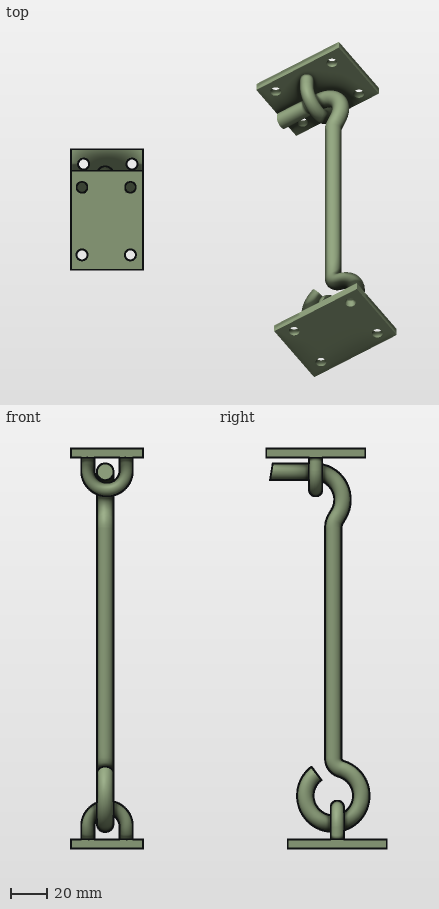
import cadquery as cq
import math

overall_height = 222.0
plate_width = 40.0
plate_length = 55.0
plate_thickness = 5.0
upper_plate_y = -12.0
screw_hole_diameter = 6.0
screw_spacing_x = 26.9
screw_spacing_y = 37.5
screw_pattern_shift_x = 0.5
screw_pattern_shift_y = 0.5

staple_wire_radius = 3.8
staple_bend_radius = 10.7
staple_leg_length = 7.0

rod_radius = 4.7
rod_x = -1.0
rod_y = -2.2
ring_radius = 15.5
ring_center_z = 29.3
ring_end_angle = 53.0
neck_radius = 6.0
hook_center_y = -12.7
hook_arm_z = 209.1
hook_arc_end_angle = 30.0
shoulder_radius = 9.5
hook_tip_y = -36.6
hook_tip_slant = 9.0


def make_anchor():
    """Plate with its underside on Z = 0 and its staple standing on top."""
    plate = (
        cq.Workplane("XY")
        .box(plate_width, plate_length, plate_thickness, centered=(True, True, False))
        .faces(">Z").workplane()
        .center(screw_pattern_shift_x, screw_pattern_shift_y)
        .rarray(screw_spacing_x, screw_spacing_y, 2, 2)
        .hole(screw_hole_diameter)
    )
    leg_base_z = plate_thickness
    bend_z = leg_base_z + staple_leg_length
    staple_path = (
        cq.Workplane("XZ")
        .moveTo(-staple_bend_radius, leg_base_z)
        .lineTo(-staple_bend_radius, bend_z)
        .threePointArc((0, bend_z + staple_bend_radius), (staple_bend_radius, bend_z))
        .lineTo(staple_bend_radius, leg_base_z)
    )
    staple = (
        cq.Workplane("XY", origin=(-staple_bend_radius, 0, leg_base_z))
        .circle(staple_wire_radius)
        .sweep(staple_path)
    )
    return plate.union(staple)


def polar(center, radius, angle):
    """Point (Y, Z) on a circle, with the angle in degrees from +Y towards +Z."""
    turn = math.radians(angle)
    return (center[0] + radius * math.cos(turn), center[1] + radius * math.sin(turn))


def make_hook_rod():
    """Round rod with an open ring at the bottom and a hook at the top."""
    ring_center = (rod_y, ring_center_z)
    center_distance = ring_radius + neck_radius
    ring_neck_angle = math.degrees(math.acos(neck_radius / center_distance))
    neck_center = polar(ring_center, center_distance, ring_neck_angle)
    ring_start_angle = 180 - ring_end_angle
    ring_start = polar(ring_center, ring_radius, ring_start_angle)
    ring_middle = polar(ring_center, ring_radius, (ring_start_angle + ring_neck_angle + 360) / 2)
    ring_neck = polar(ring_center, ring_radius, ring_neck_angle)
    neck_middle = polar(neck_center, neck_radius, (ring_neck_angle + 360) / 2)
    shank_bottom = polar(neck_center, neck_radius, 180)

    hook_center = (hook_center_y, hook_arm_z - ring_radius)
    hook_start = polar(hook_center, ring_radius, -hook_arc_end_angle)
    hook_middle = polar(hook_center, ring_radius, (90 - hook_arc_end_angle) / 2)
    hook_top = polar(hook_center, ring_radius, 90)
    slant = math.radians(hook_arc_end_angle)
    shoulder_end_y = rod_y + shoulder_radius * (1 - math.cos(slant))
    shoulder_end_z = hook_start[1] - (hook_start[0] - shoulder_end_y) / math.tan(slant)
    shoulder_center = (
        rod_y + shoulder_radius,
        shoulder_end_z - shoulder_radius * math.sin(slant),
    )
    shank_top = polar(shoulder_center, shoulder_radius, 180)
    shoulder_middle = polar(shoulder_center, shoulder_radius, 180 - hook_arc_end_angle / 2)

    arm_end_y = hook_tip_y - rod_radius
    path = (
        cq.Workplane("YZ", origin=(rod_x, 0, 0))
        .moveTo(*ring_start)
        .threePointArc(ring_middle, ring_neck)
        .threePointArc(neck_middle, shank_bottom)
        .lineTo(*shank_top)
        .threePointArc(shoulder_middle, (shoulder_end_y, shoulder_end_z))
        .lineTo(*hook_start)
        .threePointArc(hook_middle, hook_top)
        .lineTo(arm_end_y, hook_arm_z)
    )
    start_turn = math.radians(ring_start_angle)
    start_plane = cq.Plane(
        origin=(rod_x, *ring_start),
        xDir=(1, 0, 0),
        normal=(0, -math.sin(start_turn), math.cos(start_turn)),
    )
    rod = cq.Workplane(start_plane).circle(rod_radius).sweep(path)

    trim_size = 4 * rod_radius
    trim = (
        cq.Workplane("XY")
        .box(trim_size, trim_size, trim_size)
        .translate((0, -trim_size / 2, 0))
        .rotate((0, 0, 0), (1, 0, 0), -hook_tip_slant)
        .translate((rod_x, hook_tip_y, hook_arm_z))
    )
    return rod.cut(trim)


lower_anchor = make_anchor()
upper_anchor = (
    make_anchor()
    .mirror("XY")
    .rotate((0, 0, 0), (0, 0, 1), 180)
    .translate((0, upper_plate_y, overall_height))
)
hook_rod = make_hook_rod()

result = cq.Compound.makeCompound([
    *lower_anchor.solids().vals(),
    *upper_anchor.solids().vals(),
    *hook_rod.solids().vals(),
])